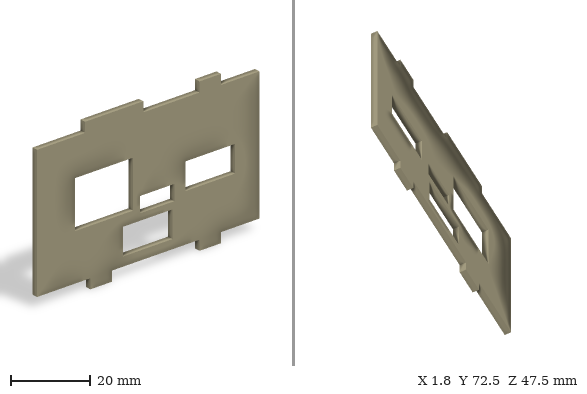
import cadquery as cq

thickness = 1.8
plate_width = 72.5
plate_height = 41.3
tab_height = 3.1

narrow_tab = 7.0
wide_tab = 19.0
outer_tab_y = 56.5
top_tabs = [(outer_tab_y, narrow_tab), (25.15, wide_tab)]
bottom_tabs = [(outer_tab_y, narrow_tab), (20.9, narrow_tab)]

windows = [
    (56.5, 19.2, 16.25, 8.35),
    (39.15, 15.7, 11.2, 4.85),
    (36.1, 7.0, 16.0, 8.35),
    (21.8, 22.2, 19.0, 14.85),
]


def block(centre_y, centre_z, width, height):
    """Full-thickness block placed from the lower -Y corner of the plate."""
    return cq.Workplane("XY").box(thickness, width, height).translate(
        (0, centre_y - plate_width / 2, centre_z - plate_height / 2)
    )


result = block(plate_width / 2, plate_height / 2, plate_width, plate_height)

for centre_y, width in top_tabs:
    result = result.union(block(centre_y, plate_height + tab_height / 2, width, tab_height))
for centre_y, width in bottom_tabs:
    result = result.union(block(centre_y, -tab_height / 2, width, tab_height))

for centre_y, centre_z, width, height in windows:
    result = result.cut(block(centre_y, centre_z, width, height))